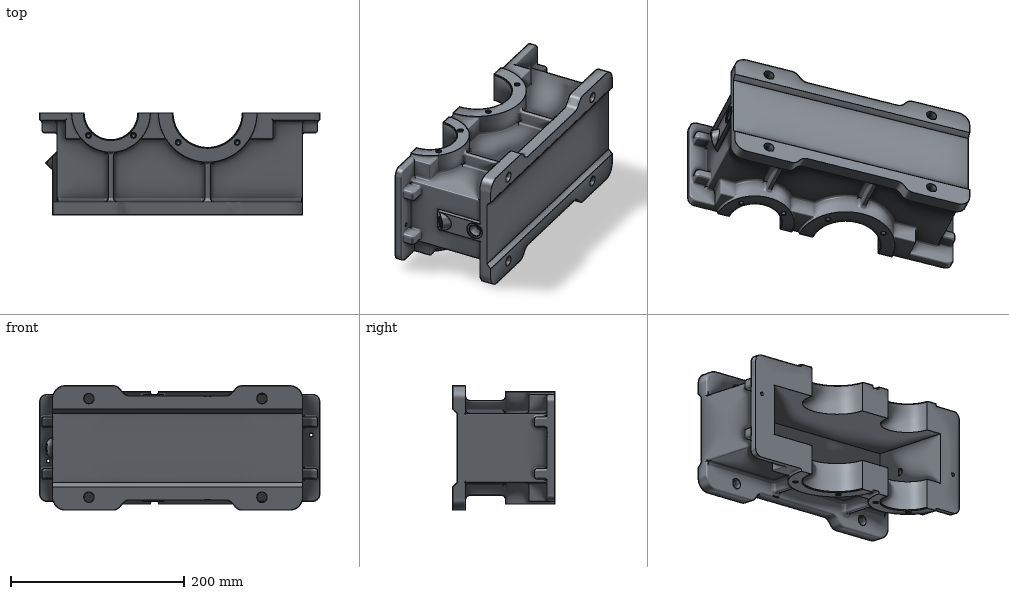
import cadquery as cq
import math


selection_tolerance = 0.1
end_clearance = 1.8

body_half_length = 142
body_half_width = 40
height = 118
wall = 10
end_corner_radius = 1.5

foot_thickness = 15
foot_min_x = -147
foot_max_x = body_half_length
foot_half_width = 72
foot_waist_half_width = 60
foot_corner_radius = 15
foot_edge_radius = 1.5
foot_middle_x = (foot_min_x + foot_max_x) / 2
waist_half_length = 75
waist_run = 20
groove_half_width = 40
groove_depth = 5
foot_hole_diameter = 12
foot_hole_xs = (-105, 95)
foot_hole_z = 57
foot_root_radius = 4.8
foot_top_y = foot_thickness - height
floor_thickness = 16

flange_half_length = 162
flange_half_width = 62
flange_thickness = 9
flange_corner_radius = 9
flange_edge_radius = 2
flange_root_radius = 3
pin_hole_diameter = 4
pin_hole_x = 152
pin_hole_z = 15

boss_half_width = 65
seats = (
    {"x": -79.5, "bore": 62, "outer": 45.5, "screws": 36.8},
    {"x": 32.3, "bore": 80, "outer": 57, "screws": 48.3},
)
bore_chamfer = 1
screw_hole_diameter = 4.92
screw_sink_diameter = 6.65
screw_hole_depth = 15
drill_tip_angle = 118
screw_angles = (225, 315)

pad_min_x = -132
pad_max_x = 108
pad_depth = 30
pad_edge_radius = 1.5
boss_root_radius = 3
pad_corner_radius = 1.5

rib_width = 6
rib_half_span = 55
rib_top_depth = 33
rib_edge_radius = 2
rib_top_radius = foot_root_radius

lug_half_length = 159.5
lug_width = 12
lug_z = 30
lug_bottom_y = -23.5
lug_top_depth = flange_thickness / 2
lug_edge_radius = 3
lug_nose_radius = 4.5
lug_root_radius = 2

plug_pad_half_width = 12
plug_pad_top_y = -45.7
incline_tip_x = -155
incline_tip_y = -58
incline_hole_from_tip = 7.6
incline_hole_diameter = 8.38
incline_hole_depth = 25
incline_spot_diameter = 13.84
incline_length = 22
incline_depth = 14
plug_root_x = wall / 2 - body_half_length
spot_face_depth = 1
drain_y = -96.4
drain_hole_diameter = 14
drain_spot_diameter = 20
drain_chamfer = 0.5
drain_hole_depth = 15


def box(x0, x1, y0, y1, z0, z1):
    return cq.Workplane("XY").box(x1 - x0, y1 - y0, z1 - z0, centered=False).translate((x0, y0, z0))


def cylinder(start, direction, diameter, length):
    solid = cq.Solid.makeCylinder(diameter / 2, length, cq.Vector(*start), cq.Vector(*direction))
    return cq.Workplane(obj=solid)


def cone(start, direction, start_radius, end_radius, length):
    solid = cq.Solid.makeCone(start_radius, end_radius, length, cq.Vector(*start), cq.Vector(*direction))
    return cq.Workplane(obj=solid)


def countersunk_hole(mouth, direction, diameter, sink, depth):
    """Round hole with a 45 degree countersink that widens the radius by sink at the mouth."""
    countersink = cone(mouth, direction, diameter / 2 + sink, diameter / 2, sink)
    return cylinder(mouth, direction, diameter, depth).union(countersink)


def drill_tip(base, direction, diameter):
    """Conical end of a drilled blind hole."""
    length = diameter / 2 / math.tan(math.radians(drill_tip_angle / 2))
    return cone(base, direction, diameter / 2, 0, length)


def both(value):
    """The value on either side of zero, as a pair of positions or as a range."""
    return (-value, value)


def exactly(value):
    """Range that holds a single value."""
    return (value, value)


def edges_within(x_range, y_range, z_range):
    """Selector for the edges whose centres lie within the given ranges, slightly widened."""
    low = [values[0] - selection_tolerance for values in (x_range, y_range, z_range)]
    high = [values[1] + selection_tolerance for values in (x_range, y_range, z_range)]
    return cq.selectors.BoxSelector(low, high)


def make_waist():
    """Cutter narrowing one long side of the foot, with a smooth S-shaped step at each end."""
    along = (1, 0)
    outer_left = (foot_middle_x - waist_half_length, foot_half_width)
    inner_left = (outer_left[0] + waist_run, foot_waist_half_width)
    outer_right = (foot_middle_x + waist_half_length, foot_half_width)
    inner_right = (outer_right[0] - waist_run, foot_waist_half_width)
    return (
        cq.Workplane("XZ", origin=(0, foot_top_y, 0))
        .moveTo(*outer_left)
        .spline([outer_left, inner_left], tangents=[along, along])
        .lineTo(*inner_right)
        .spline([inner_right, outer_right], tangents=[along, along])
        .close()
        .extrude(foot_thickness)
    )


def make_foot():
    """Rounded mounting plate, narrowed between its bolt holes on both sides."""
    foot = box(foot_min_x, foot_max_x, -height, foot_top_y, -foot_half_width, foot_half_width)
    foot = foot.edges("|Y").fillet(foot_corner_radius)
    waist = make_waist()
    return foot.cut(waist).cut(waist.mirror("XY"))


def make_foot_edge_trim():
    """Sliver that rounds the top edge of the foot, except where the body stands flush with it."""
    foot = make_foot()
    rounded = foot.faces(">Y").edges().fillet(foot_edge_radius)
    under_body = box(-body_half_length, body_half_length, -height, 0, -body_half_width, body_half_width)
    return foot.cut(rounded).cut(under_body)


def make_groove():
    """45 degree trapezoidal channel along the underside of the foot."""
    outer = groove_half_width + groove_depth
    profile = [
        (-height, -outer),
        (groove_depth - height, -groove_half_width),
        (groove_depth - height, groove_half_width),
        (-height, outer),
    ]
    return (
        cq.Workplane("YZ", origin=(foot_min_x, 0, 0))
        .polyline(profile).close()
        .extrude(foot_max_x - foot_min_x)
    )


def make_body(end_inset=0):
    """Solid body block above the foot, with its ends moved inward by end_inset."""
    half_length = body_half_length - end_inset
    return box(-half_length, half_length, foot_top_y, 0, -body_half_width, body_half_width)


def make_flange():
    """Split flange with rounded corners and a rounded lower edge."""
    flange = box(-flange_half_length, flange_half_length, -flange_thickness, 0,
                 -flange_half_width, flange_half_width)
    flange = flange.edges("|Y").fillet(flange_corner_radius)
    return flange.faces("<Y").edges().fillet(flange_edge_radius)


def make_boss(seat):
    """Half-round bearing boss running across the full width."""
    outer = seat["outer"]
    lower_half = box(seat["x"] - outer, seat["x"] + outer, -outer, 0, -boss_half_width, boss_half_width)
    round_boss = cylinder((seat["x"], 0, -boss_half_width), (0, 0, 1), 2 * outer, 2 * boss_half_width)
    return round_boss.intersect(lower_half)


def make_rib(x):
    """Rib crossing the body at x, from the foot up into the bearing bosses."""
    rib = box(x - rib_width / 2, x + rib_width / 2, foot_top_y, -rib_top_depth,
              -rib_half_span, rib_half_span)
    return rib.edges("|Y").fillet(rib_edge_radius)


def make_foot_and_ribs(body):
    """Foot and ribs, blended into the long walls of the body and into each other."""
    shape = body.union(make_foot())
    for seat in seats:
        shape = shape.union(make_rib(seat["x"]))
    inside_x = both(body_half_length - end_corner_radius - end_clearance)
    rib_y = (foot_top_y, -rib_top_depth - end_clearance)
    for side in (-1, 1):
        wall_z = side * body_half_width
        rib_z = sorted((wall_z, side * rib_half_span))
        foot_roots = edges_within(inside_x, exactly(foot_top_y), rib_z)
        rib_roots = edges_within(inside_x, rib_y, exactly(wall_z))
        shape = shape.edges(foot_roots + rib_roots).fillet(foot_root_radius)
    return shape


def make_ribbed_boss(seat):
    """Bearing boss with the upper end of its rib blended into it."""
    shape = make_boss(seat).union(make_rib(seat["x"]))
    x_range = (seat["x"] - rib_width / 2, seat["x"] + rib_width / 2)
    y_range = (-seat["outer"], -math.sqrt(seat["outer"] ** 2 - rib_width ** 2 / 4))
    return shape.edges(edges_within(x_range, y_range, both(rib_half_span))).fillet(rib_top_radius)


def make_bosses_and_pads(body):
    """Half-round bearing bosses with the pads between them, blended into the body."""
    pads = box(pad_min_x, pad_max_x, -pad_depth, 0, -flange_half_width, flange_half_width)
    block = pads.edges("|Y or (<Y and (|X or |Z))").fillet(pad_edge_radius)
    for seat in seats:
        block = block.union(make_boss(seat))
    inside_x = (pad_min_x + end_clearance, pad_max_x - end_clearance)
    corners = edges_within(inside_x, exactly(-pad_depth), exactly(0))
    block = block.edges("|Z").edges(corners).fillet(pad_corner_radius)

    shape = body.union(block)
    for z in both(body_half_width):
        roots = edges_within(both(body_half_length - end_clearance), (-height, -end_clearance), exactly(z))
        shape = shape.edges(roots).fillet(boss_root_radius)
    return shape


def make_flanged_body(body):
    """Body with the split flange blended in all round."""
    shape = body.union(make_flange())
    roots = edges_within(both(body_half_length), exactly(-flange_thickness), both(body_half_width))
    return shape.edges(roots).fillet(flange_root_radius)


def make_lugs(body):
    """Body with a pair of lugs under each flange end, blended into the end walls and the flange."""
    shape = body.union(make_flange())
    for z in both(lug_z):
        lug = box(-lug_half_length, lug_half_length, lug_bottom_y, -lug_top_depth,
                  z - lug_width / 2, z + lug_width / 2)
        lug = lug.edges("|Z and <Y").fillet(lug_nose_radius)
        shape = shape.union(lug.edges("|Y or (|X and <Y)").fillet(lug_edge_radius))
    lug_y = (lug_bottom_y, -flange_thickness - end_clearance)
    lug_zs = both(lug_z + lug_width / 2)
    for side in (-1, 1):
        wall_x = side * body_half_length
        flange_x = sorted((wall_x + side * end_clearance, side * (lug_half_length - lug_nose_radius)))
        wall_roots = edges_within(exactly(wall_x), lug_y, lug_zs)
        flange_roots = edges_within(flange_x, exactly(-flange_thickness), lug_zs)
        shape = shape.edges(wall_roots + flange_roots).fillet(lug_root_radius)
    return shape


def make_plug_pad():
    """Raised strip on the -X end and the inclined, round-ended boss at its top."""
    pad = box(foot_min_x, plug_root_x, foot_top_y - foot_edge_radius, plug_pad_top_y,
              -plug_pad_half_width, plug_pad_half_width)
    face = cq.Plane(origin=(incline_tip_x, incline_tip_y, 0), xDir=(0, 0, 1), normal=(-1, 1, 0))
    radius = plug_pad_half_width
    boss = (
        cq.Workplane(face)
        .moveTo(-radius, incline_length)
        .lineTo(-radius, radius)
        .threePointArc((0, 0), (radius, radius))
        .lineTo(radius, incline_length)
        .close()
        .extrude(-incline_depth)
    )
    above_face = cq.Workplane(face).rect(4 * radius, 4 * radius).extrude(2 * radius)
    outside_cavity = box(-flange_half_length, plug_root_x, -height, 0, -radius, radius)
    return pad.cut(above_face).union(boss.intersect(outside_cavity))


def make_cavity():
    """Inside space, open at the split plane, with flat floor and walls."""
    return box(wall - body_half_length, body_half_length - wall, floor_thickness - height, 0,
               wall - body_half_width, body_half_width - wall)


def make_bores():
    """Through bores for the bearings, chamfered at both outer faces."""
    tools = cq.Workplane()
    for seat in seats:
        radius = seat["bore"] / 2
        profile = [
            (0, -boss_half_width), (radius + bore_chamfer, -boss_half_width),
            (radius, bore_chamfer - boss_half_width), (radius, boss_half_width - bore_chamfer),
            (radius + bore_chamfer, boss_half_width), (0, boss_half_width),
        ]
        bore = cq.Workplane("XZ").polyline(profile).close().revolve(360, (0, 0), (0, 1))
        tools = tools.add(bore.translate((seat["x"], 0, 0)))
    return tools.combine()


def make_screw_holes():
    """Countersunk blind holes in both faces of each bearing boss."""
    tools = cq.Workplane()
    sink = (screw_sink_diameter - screw_hole_diameter) / 2
    for seat in seats:
        for angle in screw_angles:
            x = seat["x"] + seat["screws"] * math.cos(math.radians(angle))
            y = seat["screws"] * math.sin(math.radians(angle))
            for side in (-1, 1):
                mouth = (x, y, side * boss_half_width)
                end = (x, y, side * (boss_half_width - screw_hole_depth))
                inward = (0, 0, -side)
                hole = countersunk_hole(mouth, inward, screw_hole_diameter, sink, screw_hole_depth)
                tools = tools.add(hole.union(drill_tip(end, inward, screw_hole_diameter)))
    return tools.combine()


def make_foot_and_flange_holes():
    """Bolt holes through the foot and two diagonally opposed pin holes through the flange."""
    tools = cq.Workplane()
    for x in foot_hole_xs:
        for z in both(foot_hole_z):
            tools = tools.add(cylinder((x, -height, z), (0, 1, 0), foot_hole_diameter, foot_thickness))
    for side in (-1, 1):
        start = (side * pin_hole_x, -flange_thickness, side * pin_hole_z)
        tools = tools.add(cylinder(start, (0, 1, 0), pin_hole_diameter, flange_thickness))
    return tools.combine()


def make_plug_holes():
    """Spot-faced drain hole and inclined level hole, both opening into the cavity."""
    into_body = (1, 0, 0)
    spot_start = (foot_min_x, drain_y, 0)
    spot_floor = (foot_min_x + spot_face_depth, drain_y, 0)
    tools = cylinder(spot_start, into_body, drain_spot_diameter, spot_face_depth)
    tools = tools.union(countersunk_hole(spot_floor, into_body, drain_hole_diameter, drain_chamfer,
                                         drain_hole_depth))
    tip_offset = incline_hole_from_tip * math.sqrt(0.5)
    mouth = (incline_tip_x + tip_offset, incline_tip_y + tip_offset, 0)
    inward = (1, -1, 0)
    tools = tools.union(cylinder(mouth, inward, incline_hole_diameter, incline_hole_depth))
    return tools.union(cylinder(mouth, inward, incline_spot_diameter, spot_face_depth))


rounded_body = make_body().edges("|Y").fillet(end_corner_radius)
result = make_foot_and_ribs(make_body(end_corner_radius))
for seat in seats:
    result = result.union(make_ribbed_boss(seat))
result = result.union(make_bosses_and_pads(rounded_body))
result = result.union(make_flanged_body(rounded_body))
result = result.union(make_lugs(rounded_body))
result = result.cut(make_foot_edge_trim())
result = result.union(make_plug_pad())
result = result.cut(make_groove())
result = result.cut(make_cavity())
result = result.cut(make_bores())
result = result.cut(make_screw_holes())
result = result.cut(make_foot_and_flange_holes())
result = result.cut(make_plug_holes()).solids()